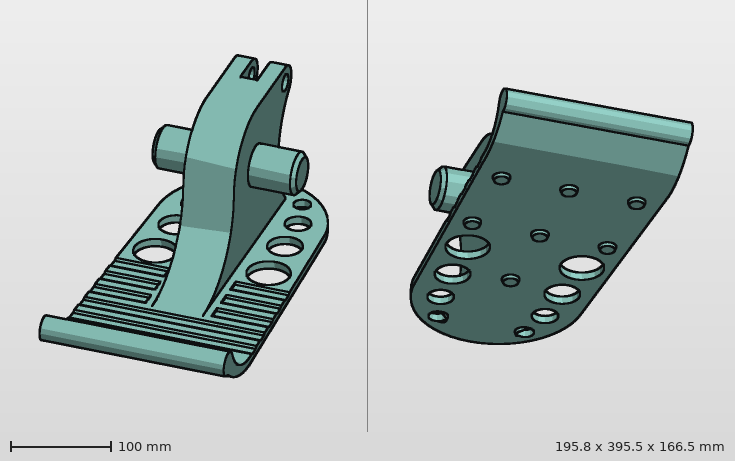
import cadquery as cq
import math

LENGTH = 395.5
FRONT_WIDTH = 195.8
PLATE_THICKNESS = 8.7
END_RADIUS = 87.8
LIP_START_Y = 72.0
END_CENTER_Y = LENGTH - END_RADIUS

TIP_RADIUS = 12.5
TIP_Y = TIP_RADIUS
TIP_Z = 36.5

BRACKET_WIDTH = 53.8
TOP_Z = 163.0
EAR_RADIUS = 17.8
EAR_HOLE_DIAMETER = 17.8
EAR_Y = 364.5
EAR_Z = TOP_Z - EAR_RADIUS
SHOULDER_RADIUS = 66.0
SHOULDER_Y = 284.8
SHOULDER_Z = TOP_Z - SHOULDER_RADIUS
WAIST_Y = 345.0
WAIST_Z = 65.3
FORK_GAP = 17.8
FORK_FRONT_Y = 333.0

PIN_DIAMETER = 44.3
PIN_LENGTH = 152.5
PIN_CHAMFER = 4.7
PIN_Y = 281.0
PIN_Z = 97.5

PLATE_HOLES = [
    (46.3, 361.0, 17.8),
    (55.0, 326.0, 26.5),
    (57.7, 281.5, 35.5),
    (60.0, 228.5, 44.3),
]

GROOVE_COUNT = 5
SPLIT_GROOVE_COUNT = 3
GROOVE_FIRST_Y = 88.0
GROOVE_PITCH = 26.5
GROOVE_WIDTH = 16.2
GROOVE_FLOOR_WIDTH = 9.5
GROOVE_DEPTH = 1.5
GROOVE_INNER_X = 35.2

FOOT_DIAMETER = 17.8
FOOT_HEIGHT = 3.5
FOOT_TAPER = 22.0
FOOT_FIRST_Y = 93.7
FOOT_PITCH = 89.0
FOOT_SIDE_X = 71.0


def point_on_circle(center, radius, direction):
    """Point at the given radius from center along a direction vector."""
    scale = radius / math.hypot(*direction)
    return (center[0] + direction[0] * scale, center[1] + direction[1] * scale)


def side_plane(x):
    """Plane with local axes Y and Z, extruding toward +X."""
    return cq.Workplane("YZ", origin=(x, 0, 0))


def make_plate():
    half_width = FRONT_WIDTH / 2
    return (
        cq.Workplane("XY")
        .moveTo(-half_width, LIP_START_Y)
        .lineTo(half_width, LIP_START_Y)
        .lineTo(END_RADIUS, END_CENTER_Y)
        .threePointArc((0, LENGTH), (-END_RADIUS, END_CENTER_Y))
        .close()
        .extrude(PLATE_THICKNESS)
    )


def make_lip():
    """Lip whose two faces leave the plate tangentially and end on a round tip."""
    tip = (TIP_Y, TIP_Z)
    run = LIP_START_Y - TIP_Y
    rise = TIP_Z - PLATE_THICKNESS
    upper_radius = (run**2 + rise**2 - TIP_RADIUS**2) / (2 * (rise + TIP_RADIUS))
    lower_end = (TIP_Y, TIP_Z - TIP_RADIUS)
    lower_radius = (run**2 + lower_end[1] ** 2) / (2 * lower_end[1])
    upper_center = (LIP_START_Y, PLATE_THICKNESS + upper_radius)
    lower_center = (LIP_START_Y, lower_radius)
    to_upper = (run, upper_center[1] - TIP_Z)

    upper_end = point_on_circle(tip, TIP_RADIUS, to_upper)
    upper_mid_direction = (upper_end[0] - LIP_START_Y, upper_end[1] - upper_center[1] - upper_radius)
    lower_mid_direction = (lower_end[0] - LIP_START_Y, lower_end[1] - 2 * lower_radius)
    upper_mid = point_on_circle(upper_center, upper_radius, upper_mid_direction)
    lower_mid = point_on_circle(lower_center, lower_radius, lower_mid_direction)
    return (
        side_plane(-FRONT_WIDTH / 2)
        .moveTo(LIP_START_Y, PLATE_THICKNESS)
        .threePointArc(upper_mid, upper_end)
        .threePointArc((TIP_Y - TIP_RADIUS, TIP_Z), lower_end)
        .threePointArc(lower_mid, (LIP_START_Y, 0))
        .close()
        .extrude(FRONT_WIDTH)
    )


def make_bracket():
    ear_offset = EAR_Y - WAIST_Y
    ear_rise = EAR_Z - WAIST_Z
    hollow_radius = (ear_offset**2 + ear_rise**2 - EAR_RADIUS**2) / (2 * (ear_offset + EAR_RADIUS))
    hollow_y = WAIST_Y + hollow_radius
    rear_base_y = hollow_y - math.sqrt(hollow_radius**2 - (WAIST_Z - PLATE_THICKNESS) ** 2)
    ear_end = point_on_circle((EAR_Y, EAR_Z), EAR_RADIUS, (hollow_y - EAR_Y, WAIST_Z - EAR_Z))

    sweep_radius = SHOULDER_Z - PLATE_THICKNESS
    shoulder_front_y = SHOULDER_Y - SHOULDER_RADIUS
    sweep_y = shoulder_front_y - sweep_radius
    shoulder_mid = point_on_circle((SHOULDER_Y, SHOULDER_Z), SHOULDER_RADIUS, (-1, 1))
    sweep_mid = point_on_circle((sweep_y, SHOULDER_Z), sweep_radius, (1, -1))
    body = (
        side_plane(-BRACKET_WIDTH / 2)
        .moveTo(sweep_y, 0)
        .lineTo(sweep_y, PLATE_THICKNESS)
        .threePointArc(sweep_mid, (shoulder_front_y, SHOULDER_Z))
        .threePointArc(shoulder_mid, (SHOULDER_Y, TOP_Z))
        .lineTo(EAR_Y, TOP_Z)
        .threePointArc((EAR_Y + EAR_RADIUS, EAR_Z), ear_end)
        .threePointArc((WAIST_Y, WAIST_Z), (rear_base_y, PLATE_THICKNESS))
        .lineTo(rear_base_y, 0)
        .close()
        .extrude(BRACKET_WIDTH)
    )
    fork_slot = (
        cq.Workplane("XY", origin=(0, FORK_FRONT_Y, WAIST_Z))
        .box(FORK_GAP, LENGTH - FORK_FRONT_Y, TOP_Z - WAIST_Z, centered=(True, False, False))
    )
    ear_hole = (
        side_plane(-BRACKET_WIDTH / 2)
        .center(EAR_Y, EAR_Z)
        .circle(EAR_HOLE_DIAMETER / 2)
        .extrude(BRACKET_WIDTH)
    )
    return body.cut(fork_slot).cut(ear_hole)


def make_pin():
    return (
        side_plane(-PIN_LENGTH / 2)
        .center(PIN_Y, PIN_Z)
        .circle(PIN_DIAMETER / 2)
        .extrude(PIN_LENGTH)
        .faces("<X or >X")
        .chamfer(PIN_CHAMFER)
    )


def make_groove(y, start_x, width):
    """Trapezoidal groove across the tread, running from start_x toward +X."""
    floor_z = PLATE_THICKNESS - GROOVE_DEPTH
    return (
        side_plane(start_x)
        .moveTo(y - GROOVE_WIDTH / 2, PLATE_THICKNESS)
        .lineTo(y - GROOVE_FLOOR_WIDTH / 2, floor_z)
        .lineTo(y + GROOVE_FLOOR_WIDTH / 2, floor_z)
        .lineTo(y + GROOVE_WIDTH / 2, PLATE_THICKNESS)
        .close()
        .extrude(width)
    )


def cut_grooves(plate):
    half_width = FRONT_WIDTH / 2
    for index in range(GROOVE_COUNT):
        y = GROOVE_FIRST_Y + index * GROOVE_PITCH
        if index < GROOVE_COUNT - SPLIT_GROOVE_COUNT:
            plate = plate.cut(make_groove(y, -half_width, FRONT_WIDTH))
        else:
            side_length = half_width - GROOVE_INNER_X
            plate = plate.cut(make_groove(y, -half_width, side_length))
            plate = plate.cut(make_groove(y, GROOVE_INNER_X, side_length))
    return plate


def make_feet():
    """Feet in two full rows, one central foot, and a rear pair."""
    half_pitch = FOOT_PITCH / 2
    rows = [
        (-FOOT_SIDE_X, 0, FOOT_SIDE_X),
        (-FOOT_SIDE_X, 0, FOOT_SIDE_X),
        (0,),
        (-half_pitch, half_pitch),
    ]
    centers = [(x, FOOT_FIRST_Y + row * FOOT_PITCH) for row, columns in enumerate(rows) for x in columns]
    return (
        cq.Workplane("XY")
        .pushPoints(centers)
        .circle(FOOT_DIAMETER / 2)
        .extrude(-FOOT_HEIGHT, taper=FOOT_TAPER)
    )


def make_plate_holes():
    holes = cq.Workplane("XY")
    for x, y, diameter in PLATE_HOLES:
        drill = (
            cq.Workplane("XY", origin=(0, 0, -FOOT_HEIGHT))
            .pushPoints([(-x, y), (x, y)])
            .circle(diameter / 2)
            .extrude(FOOT_HEIGHT + PLATE_THICKNESS)
        )
        holes = holes.add(drill)
    return holes.combine()


base = cut_grooves(make_plate()).union(make_lip()).union(make_feet()).cut(make_plate_holes())
result = base.union(make_bracket()).union(make_pin())